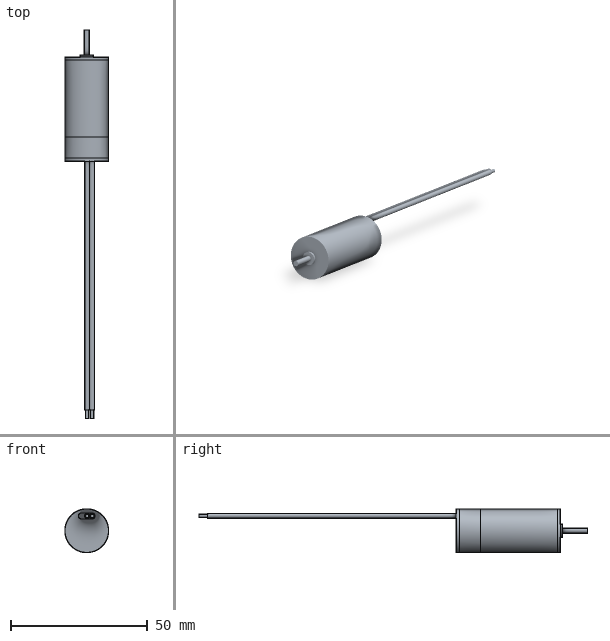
import cadquery as cq


TOTAL_LENGTH = 142.0
MOTOR_DIAMETER = 16.0
LEAD_LENGTH = 94.0

COVER_THICKNESS = 1.3
REAR_HOUSING_LENGTH = 7.7
FRONT_PLATE_THICKNESS = 1.0
BOSS_HEIGHT = 0.9
SHAFT_LENGTH = 10.0

BOSS_DIAMETER = 4.8
SHAFT_DIAMETER = 2.0

LEAD_DIAMETER = 1.8
BARE_DIAMETER = 1.3
BARE_LENGTH = 3.1
LEAD_HEIGHT = 5.4
SLOT_WIDTH = 2.1
SLOT_LENGTH = 6.1

SHAFT_TIP_Y = TOTAL_LENGTH - LEAD_LENGTH
PLATE_FRONT_Y = SHAFT_TIP_Y - SHAFT_LENGTH
PLATE_BACK_Y = PLATE_FRONT_Y - FRONT_PLATE_THICKNESS
CAN_BACK_Y = COVER_THICKNESS + REAR_HOUSING_LENGTH

OUTER_LEAD_X = (SLOT_LENGTH - SLOT_WIDTH) / 2
LEAD_POSITIONS = [OUTER_LEAD_X - LEAD_DIAMETER, OUTER_LEAD_X]


def cylinder_along_y(diameter, start_y, end_y, x=0, z=0):
    """Cylinder parallel to the Y axis, from start_y up to end_y."""
    return (
        cq.Workplane("XZ", origin=(x, start_y, z))
        .circle(diameter / 2)
        .extrude(start_y - end_y)
    )


def make_front_plate():
    """Disc with a bearing boss, bored for the shaft."""
    plate = cylinder_along_y(MOTOR_DIAMETER, PLATE_BACK_Y, PLATE_FRONT_Y)
    boss = cylinder_along_y(BOSS_DIAMETER, PLATE_FRONT_Y, PLATE_FRONT_Y + BOSS_HEIGHT)
    bore = cylinder_along_y(SHAFT_DIAMETER, PLATE_BACK_Y, PLATE_FRONT_Y + BOSS_HEIGHT)
    return plate.union(boss).cut(bore)


def make_can():
    return cylinder_along_y(MOTOR_DIAMETER, CAN_BACK_Y, PLATE_BACK_Y)


def make_rear_housing():
    return cylinder_along_y(MOTOR_DIAMETER, COVER_THICKNESS, CAN_BACK_Y)


def make_rear_cover():
    """Disc with a round-ended slot through it for the leads."""
    cover = cylinder_along_y(MOTOR_DIAMETER, 0, COVER_THICKNESS)
    slot = (
        cq.Workplane("XZ", origin=(0, 0, LEAD_HEIGHT))
        .slot2D(SLOT_LENGTH, SLOT_WIDTH)
        .extrude(-COVER_THICKNESS)
    )
    return cover.cut(slot)


def make_shaft():
    """Shaft seated on the front end of the can."""
    return cylinder_along_y(SHAFT_DIAMETER, PLATE_BACK_Y, SHAFT_TIP_Y)


def make_lead(x):
    """Insulated lead with a thinner bare end, seated on the rear housing inside the slot."""
    bare_start_y = -LEAD_LENGTH + BARE_LENGTH
    insulated = cylinder_along_y(LEAD_DIAMETER, bare_start_y, COVER_THICKNESS, x, LEAD_HEIGHT)
    bare = cylinder_along_y(BARE_DIAMETER, -LEAD_LENGTH, bare_start_y, x, LEAD_HEIGHT)
    return insulated.union(bare)


front_plate = make_front_plate()
can = make_can()
rear_housing = make_rear_housing()
rear_cover = make_rear_cover()
shaft = make_shaft()
leads = [make_lead(x) for x in LEAD_POSITIONS]

result = cq.Compound.makeCompound(
    [
        front_plate.val(),
        can.val(),
        rear_housing.val(),
        rear_cover.val(),
        shaft.val(),
        *[lead.val() for lead in leads],
    ]
)